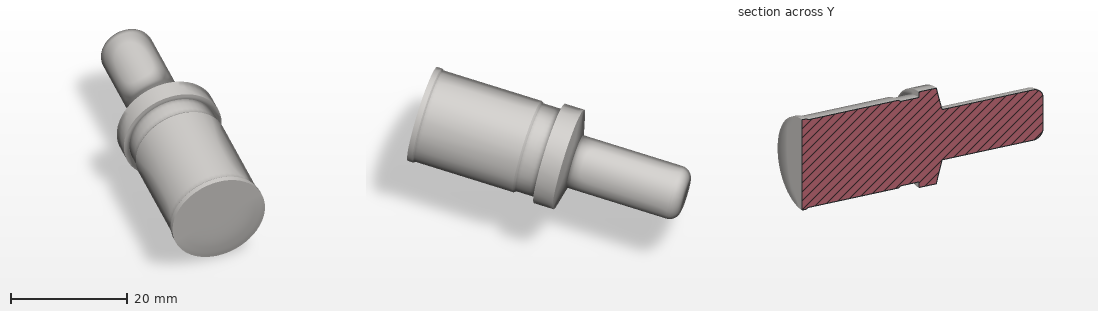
import cadquery as cq

total_length = 47.7

pin_diameter = 9.5
collar_diameter = 18.0
neck_diameter = 15.9
barrel_diameter = 16.5
rim_diameter = 17.0

pin_length = 20.0
collar_cone_length = 1.15
collar_length = 3.55
neck_length = 3.55
rim_length = 1.25

pin_tip_radius = 2.0
barrel_taper_length = 0.45
rim_taper_length = 0.3

tip_x = -total_length / 2
cone_x = tip_x + pin_length
collar_x = cone_x + collar_cone_length
neck_x = collar_x + collar_length
barrel_x = neck_x + neck_length
end_x = tip_x + total_length
rim_x = end_x - rim_length

profile = (
    cq.Workplane("XY")
    .moveTo(tip_x, 0)
    .lineTo(tip_x, pin_diameter / 2)
    .lineTo(cone_x, pin_diameter / 2)
    .lineTo(collar_x, collar_diameter / 2)
    .lineTo(neck_x, collar_diameter / 2)
    .lineTo(neck_x, neck_diameter / 2)
    .lineTo(barrel_x, neck_diameter / 2)
    .lineTo(barrel_x + barrel_taper_length, barrel_diameter / 2)
    .lineTo(rim_x, barrel_diameter / 2)
    .lineTo(rim_x + rim_taper_length, rim_diameter / 2)
    .lineTo(end_x, rim_diameter / 2)
    .lineTo(end_x, 0)
    .close()
)
body = profile.revolve(360, (0, 0, 0), (1, 0, 0))

result = body.faces("<X").edges().fillet(pin_tip_radius)